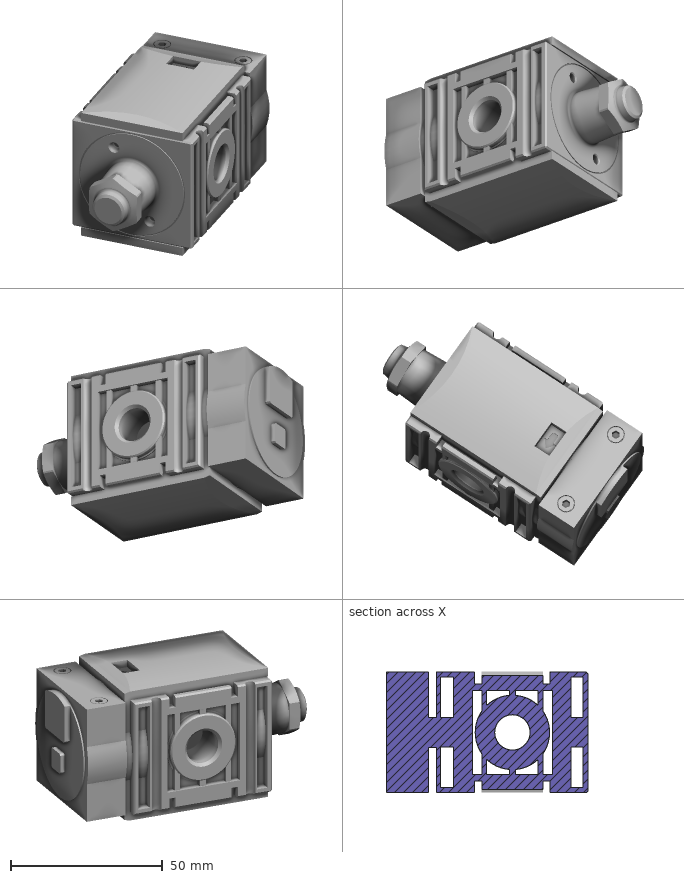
import cadquery as cq
import math


frame_width = 43.0
frame_height = 39.8
frame_front = -24.9
frame_rear = 25.1
frame_chamfer = 0.5
rail_y = 17.0
rail_groove_diameter = 3.4
rail_groove_inset = 0.2

cover_width = 36.2
cover_height = 48.15
cover_crown_z = cover_height / 2
cover_arch_rise = 1.2
cover_edge_z = cover_crown_z - cover_arch_rise
cover_rear = 27.1
cover_rear_edge_z = 22.4
front_slope_length = 4.0
rear_slope_length = 3.9
barrel_diameter = 40.0

window_length = 26.25
window_height = 27.6
window_floor_x = 19.1
rib_outer_half_y = 10.15
rib_inner_half_y = 8.4
rib_top_x = 20.9
cross_rib_width = 2.1
notch_width = 2.2
notch_floor_z = 16.0
bar_gap_floor_x = 18.9
bar_gap_edge_x = 19.5
pocket_height = 36.2
rear_pocket_start = 19.4
rear_pocket_end = 23.6
front_pocket_start = -23.1
front_pocket_end = -19.3

port_bore_diameter = 11.5
port_bore_depth = 13.35
port_bore_chamfer = 1.0
flange_diameter = 23.5
flange_chamfer = 0.45
collar_diameter = 24.65
collar_top_x = 19.5

arrow_pocket_width = 10.0
arrow_pocket_front = 15.6
arrow_pocket_rear = 21.5
arrow_pocket_floor_z = 21.45
arrow_depth = 0.4
arrow_tail_x = -3.1
arrow_neck_x = 0.1
arrow_tip_x = 2.85
arrow_shaft_half = 1.2
arrow_head_half = 2.2
arrow_tail_fillet = 0.5

ring_outer_diameter = 38.0
ring_inner_diameter = 37.0
ring_depth = 0.45
pin_hole_diameter = 3.2
pin_hole_depth = 3.6
pin_hole_chamfer = 0.4
pin_hole_x = 6.4
pin_hole_z = 12.5

stem_base_radius = 9.0
stem_tip_radius = 8.4
stem_fillet = 0.9
nut_rear = -36.9
nut_across_flats = 17.1
nut_corner_diameter = 19.4
cone_start_y = -40.6
cone_end_y = -41.65
cone_end_radius = 6.7
cap_rear = -42.3
cap_base_radius = 6.05
cap_edge_y = -44.4
cap_edge_radius = 5.7
cap_face_radius = 4.8
cap_front = -44.95

head_size = 39.9
head_front = 27.5
head_rear = 41.6
head_bulge_diameter = 42.0
screw_x = 14.5
screw_y = 34.7
screw_bore_diameter = 6.0
screw_head_diameter = 5.5
screw_root_diameter = 5.0
screw_recess_depth = 0.7
screw_teeth = 36
socket_across_flats = 2.5
socket_depth = 1.8

plate_diameter = 37.0
plate_rear = 42.1
label_width = 15.3
label_bottom_z = 3.8
label_rear = 44.05
button_width = 7.1
button_bottom_z = -8.7
button_top_z = -1.7
button_rear = 43.7
block_chamfer = 0.5

sides = (-1, 1)


def box(x0, x1, y0, y1, z0, z1):
    return cq.Workplane("XY").box(x1 - x0, y1 - y0, z1 - z0, centered=False).translate((x0, y0, z0))


def side_box(side, x0, x1, y0, y1, z0, z1):
    """Box between distances x0 and x1 from the YZ plane, on the chosen X side."""
    ends = sorted((side * x0, side * x1))
    return box(ends[0], ends[1], y0, y1, z0, z1)


def y_disc(diameter, y0, y1):
    return cq.Workplane("XZ", origin=(0, y0, 0)).circle(diameter / 2).extrude(y0 - y1)


def x_disc(side, diameter, x0, x1):
    plane = cq.Workplane("YZ", origin=(side * x0, 0, 0))
    return plane.circle(diameter / 2).extrude(side * (x1 - x0))


def make_cover():
    half = cover_width / 2
    arched = (
        cq.Workplane("XZ", origin=(0, frame_front, 0))
        .moveTo(-half, -cover_edge_z)
        .threePointArc((0, -cover_crown_z), (half, -cover_edge_z))
        .lineTo(half, cover_edge_z)
        .threePointArc((0, cover_crown_z), (-half, cover_edge_z))
        .close()
        .extrude(frame_front - cover_rear)
    )
    slope_front = frame_front + front_slope_length
    slope_rear = frame_rear - rear_slope_length
    outline = [
        (frame_front, cover_edge_z),
        (slope_front, cover_crown_z),
        (slope_rear, cover_crown_z),
        (frame_rear, cover_edge_z),
        (cover_rear, cover_rear_edge_z),
    ]
    mirrored = [(y, -z) for y, z in reversed(outline)]
    sloped = cq.Workplane("YZ").polyline(outline + mirrored).close().extrude(half, both=True)
    return arched.intersect(sloped)


def front_edge_groove():
    """Carries the chamfer of the frame's front edges across the cover, above and below."""
    half = frame_height / 2
    profile = [
        (frame_front, half - frame_chamfer),
        (frame_front + frame_chamfer, half),
        (frame_front, half),
    ]
    upper = cq.Workplane("YZ").polyline(profile).close().extrude(cover_width / 2, both=True)
    return upper.union(upper.mirror("XY"))


def cut_end_pockets(frame, side):
    half = pocket_height / 2
    for y0, y1 in ((rear_pocket_start, rear_pocket_end), (front_pocket_start, front_pocket_end)):
        frame = frame.cut(side_box(side, cover_width / 2, frame_width / 2, y0, y1, -half, half))
    return frame


def cut_side(frame, side):
    """Window, rail grooves, notches and bar gaps of one X side."""
    inner_x = cover_width / 2
    outer_x = frame_width / 2
    half_height = frame_height / 2
    half_window = window_height / 2
    half_length = window_length / 2

    frame = frame.cut(
        side_box(side, window_floor_x, outer_x, -half_length, half_length, -half_window, half_window)
    )
    for end in sides:
        groove = (
            cq.Workplane("XY", origin=(side * (outer_x - rail_groove_inset), end * rail_y, 0))
            .circle(rail_groove_diameter / 2)
            .extrude(half_height, both=True)
        )
        mouth = side_box(
            side,
            outer_x - rail_groove_inset,
            outer_x,
            end * rail_y - rail_groove_diameter / 2,
            end * rail_y + rail_groove_diameter / 2,
            -half_height,
            half_height,
        )
        frame = frame.cut(groove).cut(mouth)

    notch_end = rib_outer_half_y + notch_width
    for up in sides:
        z0, z1 = sorted((up * notch_floor_z, up * half_height))
        for y0, y1 in ((rib_outer_half_y, notch_end), (-notch_end, -rib_outer_half_y)):
            frame = frame.cut(side_box(side, inner_x, outer_x, y0, y1, z0, z1))
        gap = (
            cq.Workplane("XZ")
            .polyline(
                [
                    (side * inner_x, up * notch_floor_z),
                    (side * bar_gap_floor_x, up * notch_floor_z),
                    (side * bar_gap_edge_x, up * half_height),
                    (side * inner_x, up * half_height),
                ]
            )
            .close()
            .extrude(rib_outer_half_y, both=True)
        )
        frame = frame.cut(gap)
    return frame


def add_port(body, side):
    """Ribs, collar, flange and blind bore of one port."""
    inner_x = cover_width / 2
    outer_x = frame_width / 2
    half_window = window_height / 2
    rib_spans = (
        (rib_inner_half_y, rib_outer_half_y),
        (-rib_outer_half_y, -rib_inner_half_y),
        (-cross_rib_width / 2, cross_rib_width / 2),
    )
    for y0, y1 in rib_spans:
        body = body.union(side_box(side, inner_x, rib_top_x, y0, y1, -half_window, half_window))
    flange = x_disc(side, flange_diameter, inner_x, outer_x)
    flange = flange.faces(">X" if side > 0 else "<X").chamfer(flange_chamfer)
    body = body.union(x_disc(side, collar_diameter, inner_x, collar_top_x)).union(flange)

    mouth_radius = port_bore_diameter / 2 + port_bore_chamfer
    bore = x_disc(side, port_bore_diameter, outer_x - port_bore_depth, outer_x)
    mouth = cq.Workplane(
        cq.Solid.makeCone(
            mouth_radius,
            port_bore_diameter / 2,
            port_bore_chamfer,
            pnt=cq.Vector(side * outer_x, 0, 0),
            dir=cq.Vector(-side, 0, 0),
        )
    )
    return body.cut(bore).cut(mouth)


def make_body():
    frame = box(
        -frame_width / 2, frame_width / 2, frame_front, frame_rear, -frame_height / 2, frame_height / 2
    )
    frame = frame.edges("|Y or |Z or <Y").chamfer(frame_chamfer)
    for side in sides:
        frame = cut_end_pockets(frame, side)
    barrel = y_disc(barrel_diameter, front_pocket_start, head_front)
    body = frame.union(barrel).union(make_cover())
    for side in sides:
        body = add_port(cut_side(body, side), side)
    return body.cut(front_edge_groove())


def cut_arrow_pocket(body):
    half = arrow_pocket_width / 2
    pocket = box(-half, half, arrow_pocket_front, arrow_pocket_rear, arrow_pocket_floor_z, cover_crown_z)
    arrow_y = (arrow_pocket_front + arrow_pocket_rear) / 2
    arrow = (
        cq.Workplane("XY", origin=(0, arrow_y, arrow_pocket_floor_z))
        .polyline(
            [
                (arrow_tail_x, arrow_shaft_half),
                (arrow_neck_x, arrow_shaft_half),
                (arrow_neck_x, arrow_head_half),
                (arrow_tip_x, 0),
                (arrow_neck_x, -arrow_head_half),
                (arrow_neck_x, -arrow_shaft_half),
                (arrow_tail_x, -arrow_shaft_half),
            ]
        )
        .close()
        .extrude(-arrow_depth)
        .edges("|Z and <X")
        .fillet(arrow_tail_fillet)
    )
    return body.cut(pocket).cut(arrow)


def cut_front_face(body):
    ring_floor = frame_front + ring_depth
    ring = y_disc(ring_outer_diameter, frame_front, ring_floor)
    ring = ring.cut(y_disc(ring_inner_diameter, frame_front, ring_floor))
    body = body.cut(ring)
    for side in sides:
        hole = y_disc(pin_hole_diameter, frame_front, frame_front + pin_hole_depth)
        mouth = cq.Workplane(
            cq.Solid.makeCone(
                pin_hole_diameter / 2 + pin_hole_chamfer,
                pin_hole_diameter / 2,
                pin_hole_chamfer,
                pnt=cq.Vector(0, frame_front, 0),
                dir=cq.Vector(0, 1, 0),
            )
        )
        body = body.cut(hole.union(mouth).translate((-side * pin_hole_x, 0, side * pin_hole_z)))
    return body


def make_stem():
    fillet_mid = stem_fillet * (1 - math.sqrt(0.5))
    stem = (
        cq.Workplane("XY")
        .moveTo(0, frame_front)
        .lineTo(stem_base_radius + stem_fillet, frame_front)
        .threePointArc(
            (stem_base_radius + fillet_mid, frame_front - fillet_mid),
            (stem_base_radius, frame_front - stem_fillet),
        )
        .lineTo(stem_tip_radius, nut_rear)
        .lineTo(cone_end_radius, nut_rear)
        .lineTo(cone_end_radius, cone_end_y)
        .radiusArc((cap_base_radius, cap_rear), cap_base_radius - cone_end_radius)
        .lineTo(cap_edge_radius, cap_edge_y)
        .lineTo(cap_face_radius, cap_front)
        .lineTo(0, cap_front)
        .close()
        .revolve(360, (0, 0, 0), (0, 1, 0))
    )
    corner_radius = nut_across_flats / math.sqrt(3)
    hexagon = (
        cq.Workplane("XZ", origin=(0, nut_rear, 0))
        .polygon(6, 2 * corner_radius)
        .extrude(nut_rear - cone_end_y)
        .rotate((0, 0, 0), (0, 1, 0), 30)
    )
    turned = (
        cq.Workplane("XY")
        .moveTo(0, nut_rear)
        .lineTo(nut_corner_diameter / 2, nut_rear)
        .lineTo(nut_corner_diameter / 2, cone_start_y)
        .lineTo(cone_end_radius, cone_end_y)
        .lineTo(0, cone_end_y)
        .close()
        .revolve(360, (0, 0, 0), (0, 1, 0))
    )
    return stem.union(hexagon.intersect(turned))


def cut_screw(head, x):
    """Leaves a knurled cap screw flush in its bore, with a hexagon socket."""
    outline = []
    for index in range(2 * screw_teeth):
        radius = (screw_head_diameter if index % 2 else screw_root_diameter) / 2
        angle = math.pi * index / screw_teeth
        outline.append((radius * math.cos(angle), radius * math.sin(angle)))
    top = cq.Workplane("XY", origin=(x, screw_y, head_size / 2))
    knurl = top.polyline(outline).close().extrude(-screw_recess_depth)
    recess = top.circle(screw_bore_diameter / 2).extrude(-screw_recess_depth).cut(knurl)
    socket = top.transformed(rotate=(0, 0, 30))
    socket = socket.polygon(6, 2 * socket_across_flats / math.sqrt(3)).extrude(-socket_depth)
    return head.cut(recess).cut(socket)


def make_head():
    half = head_size / 2
    block = box(-half, half, head_front, head_rear, -half, half)
    bulge = y_disc(head_bulge_diameter, head_front, head_rear)
    bulge = bulge.intersect(
        box(-head_bulge_diameter, head_bulge_diameter, head_front, head_rear, -half, half)
    )
    head = block.union(bulge)
    for side in sides:
        head = cut_screw(head, side * screw_x)

    plate = y_disc(plate_diameter, head_rear, plate_rear)
    label = box(-label_width / 2, label_width / 2, head_rear, label_rear, label_bottom_z, half)
    label = label.intersect(y_disc(plate_diameter, head_rear, label_rear))
    label = label.edges("|Y and <Z").chamfer(block_chamfer)
    button = box(-button_width / 2, button_width / 2, head_rear, button_rear, button_bottom_z, button_top_z)
    button = button.edges("|Y").chamfer(block_chamfer)
    return head.union(plate).union(label).union(button)


body = cut_front_face(cut_arrow_pocket(make_body()))
result = body.union(make_stem()).union(make_head())